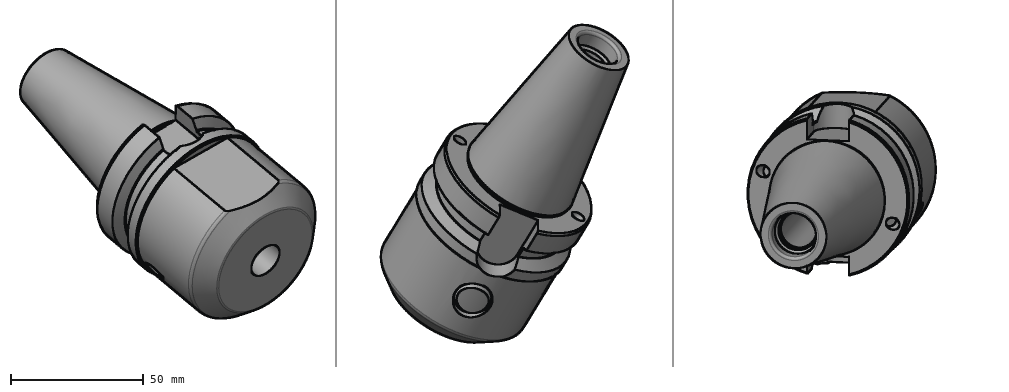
import cadquery as cq
import math

total_length = 130.4
taper_length = 65.9
flange_start = 67.3
front_collar_end = 77.2
groove_start = 79.5
groove_end = 84.0
rear_collar_start = 86.7
rear_collar_end = 91.9

gauge_radius = 22.3
taper_ratio = 7 / 24
small_end_radius = gauge_radius - taper_length * taper_ratio / 2
neck_radius = 21.9
neck_chamfer_length = 0.7
front_collar_radius = 31.2
rear_collar_radius = 31.49
groove_radius = 26.5
flank_slope = math.tan(math.radians(60))
nose_radius = 30.84
nose_end_radius = 23.3
nose_cone_length = nose_radius - nose_end_radius

front_collar_chamfer_length = 1.0
front_collar_chamfer_drop = 0.5
rear_collar_chamfer = 0.5
nose_shoulder_round = 2.1
nose_end_round = 1.0

counterbore_radius = 8.5
mouth_round = 1.2
counterbore_depth = 6.5
thread_radius = 7.3
thread_end = 10.4
passage_radius = 6.9
bore_cone_length = counterbore_radius - thread_radius

slot_width = 16.2
top_slot_floor = 22.2
top_slot_end = 88.8
bottom_slot_floor = 22.7
bottom_slot_end = 93.1

flat_height = 27.9

channel_azimuths = (20, 200)
channel_lean = math.radians(30)
flange_hole_radius = 26.6
flange_hole_diameter = 4.5
nose_hole_x = 99.8
nose_hole_diameter = 5.2
meeting_x = (
    flange_start + nose_hole_x - (nose_radius - flange_hole_radius) / math.tan(channel_lean)
) / 2
flange_hole_length = (meeting_x - flange_start) / math.cos(channel_lean)
nose_hole_length = (nose_hole_x - meeting_x) / math.cos(channel_lean)
mouth_overrun = 6.5

plug_recess = 3.1
plug_length = 5.2

stud_x = 106.4
stud_end_radius = 5.7
ring_floor_radius = 7.0
ring_mouth_radius = 7.8
ring_depth = 2.0


def revolve_about_x(profile):
    """Turn a closed profile, drawn as (x, radius), about the X axis."""
    return profile.close().revolve(360, (0, 0, 0), (1, 0, 0))


def turned_blank():
    """Taper, neck and grooved collars, with the nose joined on."""
    front_flank_foot = front_collar_radius - (groove_start - front_collar_end) * flank_slope
    rear_flank_foot = rear_collar_radius - (rear_collar_start - groove_end) * flank_slope
    shank = revolve_about_x(
        cq.Workplane("XZ")
        .lineTo(0, small_end_radius)
        .lineTo(taper_length, gauge_radius)
        .lineTo(taper_length + neck_chamfer_length, neck_radius)
        .lineTo(flange_start, neck_radius)
        .lineTo(flange_start, front_collar_radius - front_collar_chamfer_drop)
        .lineTo(flange_start + front_collar_chamfer_length, front_collar_radius)
        .lineTo(front_collar_end, front_collar_radius)
        .lineTo(groove_start, front_flank_foot)
        .lineTo(groove_start, groove_radius)
        .lineTo(groove_end, groove_radius)
        .lineTo(groove_end, rear_flank_foot)
        .lineTo(rear_collar_start, rear_collar_radius)
        .lineTo(rear_collar_end - rear_collar_chamfer, rear_collar_radius)
        .lineTo(rear_collar_end, rear_collar_radius - rear_collar_chamfer)
        .lineTo(rear_collar_end, 0)
    )
    return shank.union(nose())


def nose():
    """Nose cylinder with a coned, rounded end and a wrench flat on its top."""
    cone_start = total_length - nose_cone_length
    body = revolve_about_x(
        cq.Workplane("XZ")
        .moveTo(rear_collar_end, 0)
        .lineTo(rear_collar_end, nose_radius)
        .lineTo(cone_start, nose_radius)
        .lineTo(total_length, nose_end_radius)
        .lineTo(total_length, 0)
    )
    shoulder_edge = cq.selectors.NearestToPointSelector((cone_start, 0, 0))
    body = body.faces(">X").edges().fillet(nose_end_round)
    body = body.edges(shoulder_edge).fillet(nose_shoulder_round)
    above_flat = (
        cq.Workplane("XY", origin=(rear_collar_end, 0, flat_height))
        .box(total_length, 2 * nose_radius, nose_radius, centered=(False, True, False))
    )
    return body.cut(above_flat)


def bore():
    """Round-mouthed counterbore, thread bore and through passage."""
    return revolve_about_x(
        cq.Workplane("XZ")
        .lineTo(0, counterbore_radius + mouth_round)
        .radiusArc((mouth_round, counterbore_radius), -mouth_round)
        .lineTo(counterbore_depth, counterbore_radius)
        .lineTo(counterbore_depth + bore_cone_length, thread_radius)
        .lineTo(thread_end, thread_radius)
        .lineTo(thread_end, passage_radius)
        .lineTo(total_length, passage_radius)
        .lineTo(total_length, 0)
    )


def drive_slot(floor, end):
    """Round-ended slot above the floor height, running from the flange face to end."""
    straight_end = end - slot_width / 2
    return (
        cq.Workplane("XY", origin=(0, 0, floor))
        .moveTo(flange_start, -slot_width / 2)
        .lineTo(straight_end, -slot_width / 2)
        .threePointArc((end, 0), (straight_end, slot_width / 2))
        .lineTo(flange_start, slot_width / 2)
        .close()
        .extrude(rear_collar_radius)
    )


def inclined_cylinder(mouth, azimuth, diameter, start, end, heading):
    """Cylinder between two distances from its mouth (x, radius), leaning in towards the X axis.

    The heading is 1 to run towards +X and -1 to run towards -X.
    """
    direction = cq.Vector(heading * math.cos(channel_lean), -math.sin(channel_lean), 0)
    base = cq.Vector(*mouth, 0) + direction * start
    cylinder = cq.Solid.makeCylinder(diameter / 2, end - start, base, direction)
    return cq.Workplane(cylinder.rotate(cq.Vector(0, 0, 0), cq.Vector(1, 0, 0), azimuth))


def coolant_channel(azimuth):
    """Both holes of one V-shaped channel."""
    flange_hole = inclined_cylinder(
        (flange_start, flange_hole_radius), azimuth, flange_hole_diameter,
        -mouth_overrun, flange_hole_length, 1)
    nose_hole = inclined_cylinder(
        (nose_hole_x, nose_radius), azimuth, nose_hole_diameter,
        -mouth_overrun, nose_hole_length, -1)
    return flange_hole.union(nose_hole)


def stud_ring():
    """V-sided ring groove about a vertical axis, open at the bottom of the nose."""
    top = ring_depth - nose_radius
    return (
        cq.Workplane("XZ", origin=(stud_x, 0, 0))
        .moveTo(stud_end_radius, -nose_radius)
        .lineTo(ring_floor_radius, top)
        .lineTo(ring_mouth_radius, -nose_radius)
        .close()
        .revolve(360, (0, 0, 0), (0, 1, 0))
    )


def holder():
    top_slot = drive_slot(top_slot_floor, top_slot_end)
    bottom_slot = drive_slot(bottom_slot_floor, bottom_slot_end).rotate((0, 0, 0), (1, 0, 0), 180)
    body = turned_blank().cut(bore()).cut(top_slot).cut(bottom_slot).cut(stud_ring())
    for azimuth in channel_azimuths:
        body = body.cut(coolant_channel(azimuth))
    return body


def plug(azimuth):
    """Round plug filling part of a flange hole, set back from its mouth."""
    return inclined_cylinder(
        (flange_start, flange_hole_radius), azimuth, flange_hole_diameter,
        plug_recess, plug_recess + plug_length, 1)


plugs = [plug(azimuth) for azimuth in channel_azimuths]
result = cq.Compound.makeCompound([holder().val(), *[body.val() for body in plugs]])